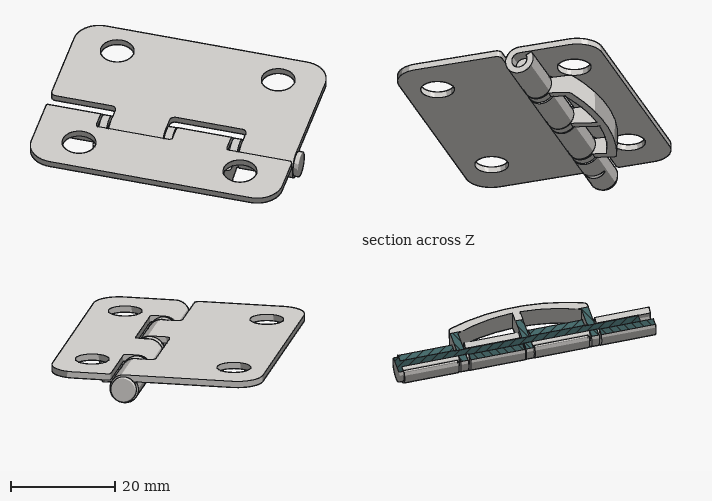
import cadquery as cq
import math


leaf_width = 50.0
leaf_thickness = 1.3
knuckle_radius = 2.8
bore_radius = knuckle_radius - leaf_thickness
upper_leaf_reach = 26.15
lower_leaf_reach = 15.05
leaf_corner_radius = 5.0
curl_end_angle = 30.0

knuckle_length = 10.8
knuckle_pitch = 25.95
lower_knuckle_starts = [0.0, knuckle_pitch]
upper_knuckle_starts = [leaf_width - knuckle_length - knuckle_pitch, leaf_width - knuckle_length]
upper_notch_edge = 3.9
lower_notch_edge = 2.7
upper_notch_radius = 1.0
lower_notch_radius = 0.6

hole_diameter = 6.5
hole_spacing = 32.05
upper_hole_offset = 19.7
lower_hole_offset = 8.05

groove_depth = 0.85
groove_floor_width = 0.3
groove_mouth_width = 1.0

pin_recess = 2.55
head_radius = 2.45
head_length = 1.0
head_fillet = 0.2

clip_width = 27.55
clip_thickness = 1.55
clip_ring_radius = 2.75
clip_tilt = 4.0
clip_corner_reach = 6.55
clip_bow_reach = 9.2
clip_corner_radius = 0.9
clip_root_half_height = bore_radius
clip_top_flare = 0.03
clip_bottom_flare = 0.075
clip_cut_reach = 2.0 * clip_bow_reach

leaf_middle = leaf_width / 2


def x_cylinder(radius, start, length):
    """Cylinder on the hinge axis."""
    return cq.Workplane("YZ", origin=(start, 0, 0)).circle(radius).extrude(length)


def curled_knuckle(start, side):
    """Strip rolled around the axis from the plate at y = 0, for a plate on the given Y side."""
    end = math.radians(curl_end_angle)
    end_y = side * math.cos(end)
    end_z = math.sin(end)
    return (
        cq.Workplane("YZ", origin=(start, 0, 0))
        .moveTo(0, knuckle_radius)
        .threePointArc((0, -knuckle_radius), (knuckle_radius * end_y, knuckle_radius * end_z))
        .lineTo(bore_radius * end_y, bore_radius * end_z)
        .threePointArc((0, -bore_radius), (0, bore_radius))
        .close()
        .extrude(knuckle_length)
    )


def plate_block(x_start, x_end, y_start, y_end):
    """Rectangular piece of leaf plate, flush with the top of the knuckles."""
    return cq.Workplane("XY").box(
        x_end - x_start, y_end - y_start, leaf_thickness, centered=False
    ).translate((x_start, y_start, bore_radius))


def leaf(side, reach, notch_edge, notch_radius, hole_offset, knuckle_starts):
    """One leaf: plate with rounded notches, screw holes and curled knuckles."""
    far_edge, near_edge = side * reach, side * notch_edge
    plate = plate_block(0, leaf_width, min(far_edge, near_edge), max(far_edge, near_edge))
    plate = plate.edges("|Z").edges(">Y" if side > 0 else "<Y").fillet(leaf_corner_radius)
    for start in knuckle_starts:
        tongue = plate_block(start, start + knuckle_length, min(0, near_edge), max(0, near_edge))
        plate = plate.union(tongue)

    margin = 0.05
    notch_corners = cq.selectors.BoxSelector(
        (-margin, near_edge - margin, bore_radius - margin),
        (leaf_width + margin, near_edge + margin, knuckle_radius + margin),
    )
    plate = plate.clean().edges("|Z").edges(notch_corners).fillet(notch_radius)

    hole_points = [(leaf_middle + sign * hole_spacing / 2, side * hole_offset) for sign in (-1, 1)]
    holes = (
        cq.Workplane("XY", origin=(0, 0, bore_radius))
        .pushPoints(hole_points)
        .circle(hole_diameter / 2)
        .extrude(leaf_thickness)
    )
    plate = plate.cut(holes)
    for start in knuckle_starts:
        plate = plate.union(curled_knuckle(start, side))
    return plate


def staking_groove():
    """Tapered groove across the underside of the last upper knuckle."""
    middle = upper_knuckle_starts[-1] + knuckle_length / 2
    floor_z = groove_depth - knuckle_radius
    return (
        cq.Workplane("XZ")
        .moveTo(middle - groove_mouth_width / 2, -knuckle_radius)
        .lineTo(middle - groove_floor_width / 2, floor_z)
        .lineTo(middle + groove_floor_width / 2, floor_z)
        .lineTo(middle + groove_mouth_width / 2, -knuckle_radius)
        .close()
        .extrude(knuckle_radius, both=True)
    )


def hinge_pin():
    """Pin with a rounded head against the +X end of the last knuckle."""
    shank = x_cylinder(bore_radius, pin_recess, leaf_width - pin_recess)
    head = x_cylinder(head_radius, leaf_width, head_length).edges().fillet(head_fillet)
    return shank.union(head)


def bow_outline(inset):
    """Plan of the bowed clip seen along Z, shrunk by the inset on its sides and bow."""
    half_width = clip_width / 2 - inset
    corner_y = inset - clip_corner_reach
    return (
        cq.Workplane("XY", origin=(leaf_middle, 0, -clip_cut_reach / 2))
        .moveTo(-half_width, 0)
        .lineTo(-half_width, corner_y)
        .threePointArc((0, inset - clip_bow_reach), (half_width, corner_y))
        .lineTo(half_width, 0)
        .close()
        .extrude(clip_cut_reach)
    )


def friction_clip():
    """Bowed strip with three ringed arms on the pin, flaring in height away from the axis."""
    outer = bow_outline(0).edges("|Z").edges("<Y").fillet(clip_corner_radius)
    frame = outer.cut(bow_outline(clip_thickness))

    arm_spacing = (clip_width - clip_thickness) / 2
    arm_starts = [leaf_middle - clip_thickness / 2 + step * arm_spacing for step in (-1, 0, 1)]
    middle_arm = (
        cq.Workplane("XY", origin=(0, 0, -clip_cut_reach / 2))
        .box(clip_thickness, clip_bow_reach - clip_thickness / 2, clip_cut_reach, centered=False)
        .translate((arm_starts[1], clip_thickness / 2 - clip_bow_reach, 0))
    )
    frame = frame.union(middle_arm)

    flare = (
        cq.Workplane("YZ")
        .polyline([
            (0, clip_root_half_height),
            (-clip_cut_reach, clip_root_half_height + clip_top_flare * clip_cut_reach),
            (-clip_cut_reach, -clip_root_half_height - clip_bottom_flare * clip_cut_reach),
            (0, -clip_root_half_height),
        ])
        .close()
        .extrude(leaf_width)
    )
    clip = frame.intersect(flare)
    for start in arm_starts:
        clip = clip.union(x_cylinder(clip_ring_radius, start, clip_thickness))
    clip = clip.cut(x_cylinder(bore_radius, 0, leaf_width))
    return clip.rotate((0, 0, 0), (1, 0, 0), clip_tilt)


upper_leaf = leaf(
    1, upper_leaf_reach, upper_notch_edge, upper_notch_radius, upper_hole_offset, upper_knuckle_starts
).cut(staking_groove())
lower_leaf = leaf(
    -1, lower_leaf_reach, lower_notch_edge, lower_notch_radius, lower_hole_offset, lower_knuckle_starts
)
pin = hinge_pin()
clip = friction_clip()

result = cq.Compound.makeCompound([body.solids().val() for body in (upper_leaf, lower_leaf, pin, clip)])